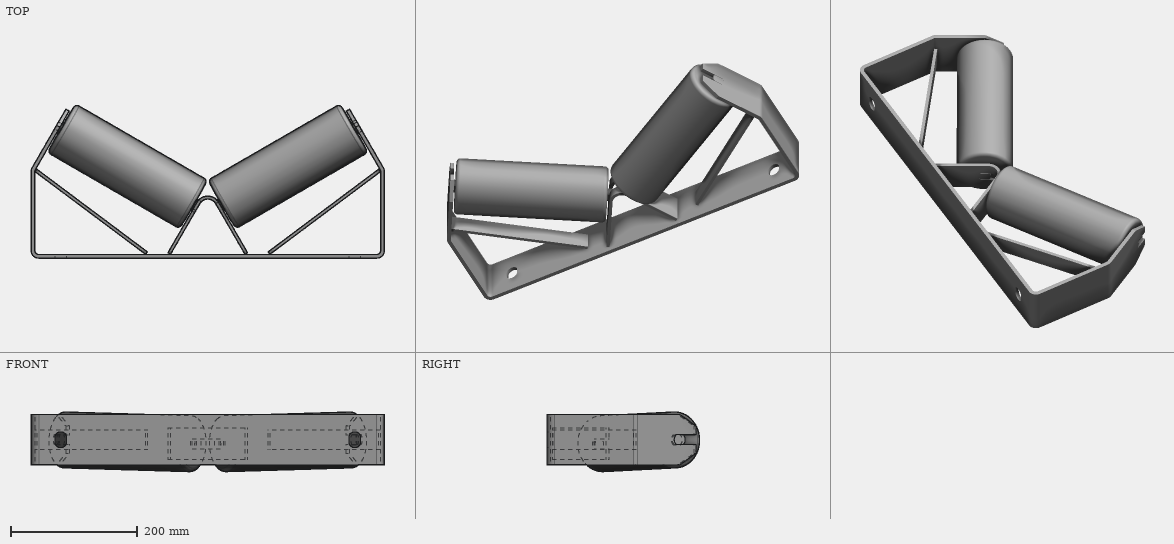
import cadquery as cq
import math


TROUGH_ANGLE = 30.0
ROLLER_TILT = 1.5
COS_A = math.cos(math.radians(TROUGH_ANGLE))
SIN_A = math.sin(math.radians(TROUGH_ANGLE))
TAN_TILT = math.tan(math.radians(ROLLER_TILT))
OUTWARD = cq.Vector(COS_A, SIN_A, 0)
ARM_UP = cq.Vector(-SIN_A, COS_A, 0)

ROLLER_DIAMETER = 89.0
ROLLER_LENGTH = 241.5
ROLLER_EDGE_RADIUS = 6.0
ROLLER_X = 127.0
ROLLER_Y = 145.5
SHAFT_DIAMETER = 20.0
SHAFT_FLATS = 15.5
SLOT_REACH = 45.0

FRAME_LENGTH = 560.0
FRAME_HEIGHT = 80.0
FRAME_THICKNESS = 6.0
BEND_RADIUS = 12.5
ARM_FACE_OFFSET = 130.0
ARM_TOP_Y = 236.5
ARM_CUT_LENGTH = 29.5
ARM_CUT_HEIGHT = 18.5
HOLE_X = 233.0
HOLE_WIDTH = 18.5
HOLE_HEIGHT = 25.0

BRACKET_THICKNESS = 5.0
BRACKET_HEIGHT = 50.0
BRACKET_BEND_RADIUS = 19.5
BRACKET_FACE_OFFSET = 124.0

STRUT_THICKNESS = 5.0
STRUT_HEIGHT = 30.0
STRUT_FOOT_X = 98.5
STRUT_HEAD_Y = 137.0

HALF_LENGTH = FRAME_LENGTH / 2
WALL_INNER_X = HALF_LENGTH - FRAME_THICKNESS
ROLLER_Z = -(ARM_FACE_OFFSET - FRAME_THICKNESS / 2) * TAN_TILT
BRACKET_Z = ROLLER_Z - (BRACKET_FACE_OFFSET + BRACKET_THICKNESS / 2) * TAN_TILT
ROLLER_CENTRE = cq.Vector(ROLLER_X, ROLLER_Y, ROLLER_Z)
ROLLER_REACH = ROLLER_X * COS_A + ROLLER_Y * SIN_A


def mirrored(shape):
    return shape.mirror("YZ")


def roller_plane(distance):
    """Plane square to the roller axis, a distance outward from the roller centre; local x is ARM_UP."""
    tilt = math.radians(ROLLER_TILT)
    axis = OUTWARD * math.cos(tilt) + cq.Vector(0, 0, math.sin(tilt))
    return cq.Plane(origin=ROLLER_CENTRE + axis * distance, xDir=ARM_UP, normal=axis)


def flatted_shaft(start, length):
    """Round shaft with two flats facing up and down, from a given distance outward."""
    plane = roller_plane(start)
    shaft = cq.Workplane(plane).circle(SHAFT_DIAMETER / 2).extrude(length)
    flats = cq.Workplane(plane).rect(SHAFT_DIAMETER, SHAFT_FLATS).extrude(length)
    return shaft.intersect(flats)


def shaft_slot(start, depth):
    """Open slot that fits the flatted shaft, running up the plate from the shaft's seat."""
    opening = (
        cq.Workplane(roller_plane(start))
        .center(SLOT_REACH / 2, 0)
        .rect(SLOT_REACH, SHAFT_FLATS)
        .extrude(depth)
    )
    return opening.union(flatted_shaft(start, depth))


def make_roller():
    tube = (
        cq.Workplane(roller_plane(-ROLLER_LENGTH / 2))
        .circle(ROLLER_DIAMETER / 2)
        .extrude(ROLLER_LENGTH)
        .edges()
        .fillet(ROLLER_EDGE_RADIUS)
    )
    inner_reach = BRACKET_FACE_OFFSET + BRACKET_THICKNESS
    return tube.union(flatted_shaft(-inner_reach, inner_reach + ARM_FACE_OFFSET))


def arm_end_cuts(arm_tip):
    """Wedges that trim the upper and lower corners of an arm end."""
    plane = cq.Plane(origin=arm_tip, xDir=ARM_UP, normal=OUTWARD)
    cuts = cq.Workplane(plane)
    for side in (-1, 1):
        edge_z = side * FRAME_HEIGHT / 2
        wedge = (
            cq.Workplane(plane)
            .polyline([(0, edge_z), (-ARM_CUT_LENGTH, edge_z), (0, edge_z - side * ARM_CUT_HEIGHT)])
            .close()
            .extrude(2 * FRAME_THICKNESS, both=True)
        )
        cuts = cuts.add(wedge)
    return cuts.combine()


def make_frame():
    """Base strip with upright walls and arms leaning over the outer roller ends."""
    arm_face = ROLLER_REACH + ARM_FACE_OFFSET
    bend_y = (arm_face - HALF_LENGTH * COS_A) / SIN_A
    inner_bend_y = bend_y - FRAME_THICKNESS * math.tan(math.radians(TROUGH_ANGLE / 2))
    outer_tip = cq.Vector((arm_face - ARM_TOP_Y * SIN_A) / COS_A, ARM_TOP_Y, 0)
    inner_tip = outer_tip - OUTWARD * FRAME_THICKNESS

    half = (
        cq.Workplane("XY")
        .polyline([
            (0, 0),
            (HALF_LENGTH, 0),
            (HALF_LENGTH, bend_y),
            (outer_tip.x, outer_tip.y),
            (inner_tip.x, inner_tip.y),
            (WALL_INNER_X, inner_bend_y),
            (WALL_INNER_X, FRAME_THICKNESS),
            (0, FRAME_THICKNESS),
        ])
        .close()
        .extrude(FRAME_HEIGHT / 2, both=True)
    )
    inner_radius = BEND_RADIUS - FRAME_THICKNESS
    bends = [
        (HALF_LENGTH, 0, BEND_RADIUS),
        (HALF_LENGTH, bend_y, BEND_RADIUS),
        (WALL_INNER_X, inner_bend_y, inner_radius),
        (WALL_INNER_X, FRAME_THICKNESS, inner_radius),
    ]
    for x, y, radius in bends:
        half = half.edges(cq.NearestToPointSelector((x, y, 0))).fillet(radius)

    mounting_hole = (
        cq.Workplane("XZ")
        .center(HOLE_X, 0)
        .slot2D(HOLE_HEIGHT, HOLE_WIDTH, 90)
        .extrude(2 * FRAME_THICKNESS, both=True)
    )
    slot = shaft_slot(ARM_FACE_OFFSET - 2 * FRAME_THICKNESS, 3 * FRAME_THICKNESS)
    half = half.cut(arm_end_cuts(outer_tip)).cut(mounting_hole).cut(slot)
    return half.union(mirrored(half))


def make_bracket():
    """Inverted V with a rounded apex; each foot is cut square and rests on the base by its inner corner."""
    leg_face = ROLLER_REACH - BRACKET_FACE_OFFSET
    apex_y = leg_face / SIN_A
    inner_apex_y = (leg_face - BRACKET_THICKNESS) / SIN_A
    inner_foot_x = (leg_face - BRACKET_THICKNESS - FRAME_THICKNESS * SIN_A) / COS_A
    inner_foot = cq.Vector(inner_foot_x, FRAME_THICKNESS, 0)
    outer_foot = inner_foot + OUTWARD * BRACKET_THICKNESS

    sharp_bracket = (
        cq.Workplane("XY", origin=(0, 0, BRACKET_Z))
        .polyline([
            (0, apex_y),
            (outer_foot.x, outer_foot.y),
            (inner_foot.x, inner_foot.y),
            (0, inner_apex_y),
            (-inner_foot.x, inner_foot.y),
            (-outer_foot.x, outer_foot.y),
        ])
        .close()
        .extrude(BRACKET_HEIGHT / 2, both=True)
    )
    bracket = (
        sharp_bracket
        .edges(cq.NearestToPointSelector((0, apex_y, BRACKET_Z)))
        .fillet(BRACKET_BEND_RADIUS)
        .edges(cq.NearestToPointSelector((0, inner_apex_y, BRACKET_Z)))
        .fillet(BRACKET_BEND_RADIUS - BRACKET_THICKNESS)
    )
    slot_depth = 4 * BRACKET_THICKNESS
    slot = shaft_slot(-BRACKET_FACE_OFFSET - slot_depth + BRACKET_THICKNESS, slot_depth)
    return bracket.cut(slot).cut(mirrored(slot))


def make_strut():
    """Flat bar set on edge, touching the frame base and wall by its lower corners."""
    foot = cq.Vector(STRUT_FOOT_X, FRAME_THICKNESS, 0)
    head = cq.Vector(WALL_INNER_X, STRUT_HEAD_Y, 0)
    plane = cq.Plane(origin=foot, xDir=head - foot, normal=(0, 0, 1))
    return (
        cq.Workplane(plane)
        .rect((head - foot).Length, STRUT_THICKNESS, centered=False)
        .extrude(STRUT_HEIGHT / 2, both=True)
    )


frame = make_frame()
bracket = make_bracket()

right_strut = make_strut()
right_roller = make_roller()
struts = [right_strut, mirrored(right_strut)]
rollers = [right_roller, mirrored(right_roller)]

result = cq.Compound.makeCompound(
    [body.val() for body in [frame, bracket, *struts, *rollers]]
)